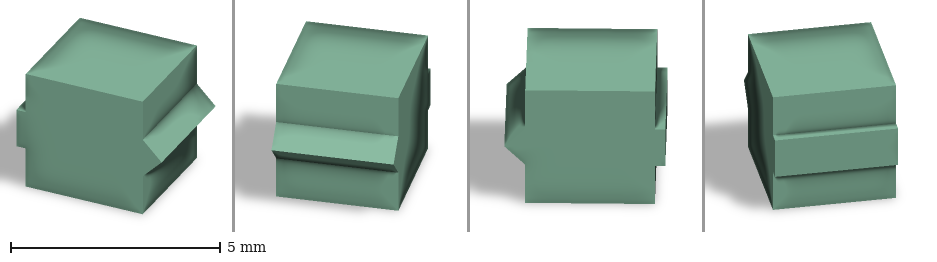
import cadquery as cq

length = 3.85
depth = 3.0
height = 3.1
rib_thickness = 0.25
band_height = 1.0
ridge_projection = band_height / 2

rib_face_x = -length / 2
block_left_x = rib_face_x + rib_thickness
ridge_tip_x = length / 2
block_right_x = ridge_tip_x - ridge_projection
half_height = height / 2
half_band = band_height / 2

upper_profile = [
    (rib_face_x, 0),
    (rib_face_x, half_band),
    (block_left_x, half_band),
    (block_left_x, half_height),
    (block_right_x, half_height),
    (block_right_x, half_band),
    (ridge_tip_x, 0),
]

result = (
    cq.Workplane("XZ")
    .polyline(upper_profile)
    .mirrorX()
    .extrude(depth / 2, both=True)
)